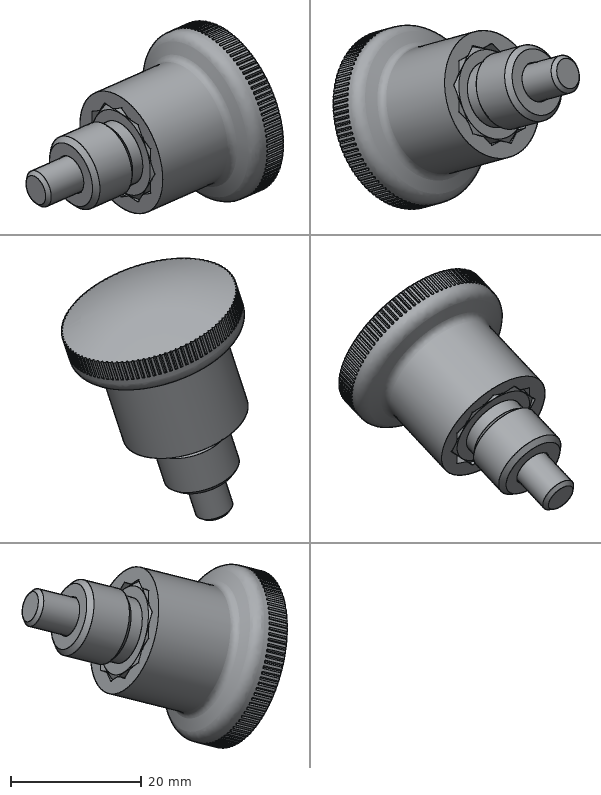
import cadquery as cq
import math


overall_length = 40.4
knob_face = 17.0
sleeve_radius = 10.0
rim_diameter = 28.0
rim_radius = rim_diameter / 2
flare_start = 30.85
flare_angle = 20.0
sleeve_fillet = 1.2
rim_fillet = 1.9
crown_edge = 37.75

groove_count = 100
groove_start = 34.55
groove_width = 0.45
groove_depth = 0.2

pin_radius = 3.0
pin_chamfer = 0.6

bush_end = 7.0
thread_radius = 6.0
thread_chamfer = 0.8
thread_top = 14.18
neck_radius = thread_radius - thread_chamfer
bore_radius = 3.1
hex_across_flats = 14.0
hex_height = 6.05
hex_sides = 6
hex_chamfer_angle = 30.0

socket_depth = hex_height
socket_turns = (0, 30)

hex_corner_radius = hex_across_flats / 2 / math.cos(math.pi / hex_sides)


def revolve_about_y(profile):
    """Turn a closed half profile, drawn as (radius, Y), about the Y axis."""
    return profile.close().revolve(360, (0, 0, 0), (0, 1, 0))


def y_cylinder(radius, start, end):
    return revolve_about_y(
        cq.Workplane("XY").moveTo(0, start).lineTo(radius, start).lineTo(radius, end).lineTo(0, end)
    )


def hex_prism(start, length, turn):
    """Hexagonal prism along +Y; with no turn, two of its corners lie on the X axis."""
    prism = (
        cq.Workplane("XZ", origin=(0, start, 0)).polygon(hex_sides, 2 * hex_corner_radius).extrude(-length)
    )
    return prism.rotate((0, 0, 0), (0, 1, 0), turn)


def circles_at(y):
    """Select the circular edges that lie in the plane across the axis at y."""
    reach = 2 * rim_radius
    slack = 0.05
    return cq.selectors.BoxSelector((-reach, y - slack, -reach), (reach, y + slack, reach), boundingbox=True)


def make_knob_blank():
    """Sleeve flaring out to a rim under a domed crown."""
    flare_end = flare_start + (rim_radius - sleeve_radius) * math.tan(math.radians(flare_angle))
    crown_height = overall_length - crown_edge
    crown_radius = (rim_radius**2 + crown_height**2) / (2 * crown_height)
    arc_mid_radius = rim_radius / 2
    arc_mid_y = overall_length - crown_radius + math.sqrt(crown_radius**2 - arc_mid_radius**2)
    blank = revolve_about_y(
        cq.Workplane("XY")
        .moveTo(0, knob_face)
        .lineTo(sleeve_radius, knob_face)
        .lineTo(sleeve_radius, flare_start)
        .lineTo(rim_radius, flare_end)
        .lineTo(rim_radius, crown_edge)
        .threePointArc((arc_mid_radius, arc_mid_y), (0, overall_length))
    )
    blank = blank.edges(circles_at(flare_end)).fillet(rim_fillet)
    return blank.edges(circles_at(flare_start)).fillet(sleeve_fillet)


def make_knurl_grooves():
    """V-grooves evenly spaced round the rim, open towards the crown."""
    overshoot = 0.2
    half_width = groove_width / 2 * (groove_depth + overshoot) / groove_depth
    outer = rim_radius + overshoot
    cutter = (
        cq.Workplane("XZ", origin=(0, groove_start, 0))
        .polyline([(0, rim_radius - groove_depth), (half_width, outer), (-half_width, outer)])
        .close()
        .extrude(groove_start - overall_length)
        .val()
    )
    pitch = 360 / groove_count
    return [cutter.rotate((0, 0, 0), (0, 1, 0), i * pitch) for i in range(groove_count)]


def make_pin():
    """Locking pin with a chamfered tip, rooted in the floor of the socket."""
    pin = y_cylinder(pin_radius, 0, knob_face + socket_depth)
    return pin.faces("<Y").chamfer(pin_chamfer)


def make_knob():
    knob = make_knob_blank()
    for turn in socket_turns:
        knob = knob.cut(hex_prism(knob_face, socket_depth, turn))
    knob = knob.union(make_pin())
    return cq.Workplane(knob.val().cut(*make_knurl_grooves()))


def make_hex_head():
    """Hexagon flush with the knob face, its corners bevelled by a cone."""
    bevel_radius = hex_across_flats / 2
    cone_radius = 2 * bevel_radius
    cone_end = knob_face + (cone_radius - bevel_radius) * math.tan(math.radians(hex_chamfer_angle))
    head_end = knob_face + hex_height
    bevel = revolve_about_y(
        cq.Workplane("XY")
        .moveTo(0, knob_face)
        .lineTo(bevel_radius, knob_face)
        .lineTo(cone_radius, cone_end)
        .lineTo(cone_radius, head_end)
        .lineTo(0, head_end)
    )
    return hex_prism(knob_face, hex_height, 0).intersect(bevel)


def make_bush():
    """Threaded end, neck and hexagon head, bored through for the pin."""
    shank = revolve_about_y(
        cq.Workplane("XY")
        .moveTo(0, bush_end)
        .lineTo(neck_radius, bush_end)
        .lineTo(thread_radius, bush_end + thread_chamfer)
        .lineTo(thread_radius, thread_top)
        .lineTo(neck_radius, thread_top + thread_chamfer)
        .lineTo(neck_radius, knob_face)
        .lineTo(0, knob_face)
    )
    bore = y_cylinder(bore_radius, bush_end, knob_face + hex_height)
    return shank.union(make_hex_head()).cut(bore)


knob = make_knob()
bush = make_bush()

result = cq.Compound.makeCompound([knob.val(), bush.val()])